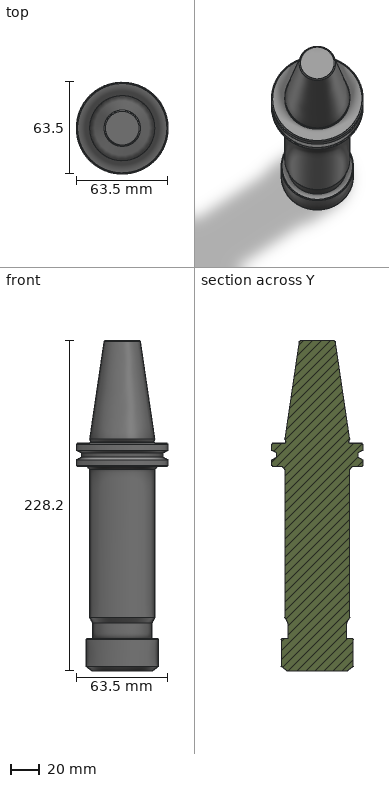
import cadquery as cq

total_length = 228.2
nut_diameter = 50.0
nut_face_diameter = 41.5
neck_diameter = 40.9
body_diameter = 45.0
flange_diameter = 63.5
groove_diameter = 56.4
taper_large_diameter = 45.0
taper_small_diameter = 25.0

nut_length = 22.5
nut_bevel_height = 3.2
neck_length = 10.5
body_bevel_height = 3.9
flange_bottom = 141.0
flange_top = 157.3
taper_length = 68.2
groove_middle = 149.0
groove_floor_width = 3.0
groove_mouth_width = 6.6

nut_top_chamfer = 0.7
flange_chamfer = 1.0
taper_tip_chamfer = 1.0
collar_size = 1.8
relief_depth = 0.7
relief_root_height = 1.0

nut_radius = nut_diameter / 2
neck_radius = neck_diameter / 2
body_radius = body_diameter / 2
flange_radius = flange_diameter / 2
groove_radius = groove_diameter / 2
taper_large_radius = taper_large_diameter / 2
taper_small_radius = taper_small_diameter / 2

neck_top = nut_length + neck_length
taper_bottom = total_length - taper_length

nut_outline = [
    (nut_face_diameter / 2, 0),
    (nut_radius, nut_bevel_height),
    (nut_radius, nut_length - nut_top_chamfer),
    (nut_radius - nut_top_chamfer, nut_length),
]
body_outline = [
    (neck_radius, nut_length),
    (neck_radius, neck_top),
    (body_radius, neck_top + body_bevel_height),
    (body_radius, flange_bottom - collar_size),
    (body_radius + collar_size, flange_bottom),
]
flange_outline = [
    (flange_radius - flange_chamfer, flange_bottom),
    (flange_radius, flange_bottom + flange_chamfer),
    (flange_radius, groove_middle - groove_mouth_width / 2),
    (groove_radius, groove_middle - groove_floor_width / 2),
    (groove_radius, groove_middle + groove_floor_width / 2),
    (flange_radius, groove_middle + groove_mouth_width / 2),
    (flange_radius, flange_top - flange_chamfer),
    (flange_radius - flange_chamfer, flange_top),
]
taper_outline = [
    (taper_large_radius, flange_top),
    (taper_large_radius - relief_depth, flange_top + relief_root_height),
    (taper_large_radius, taper_bottom),
    (taper_small_radius, total_length - taper_tip_chamfer),
    (taper_small_radius - taper_tip_chamfer, total_length),
]

axis_bottom = (0, 0)
axis_top = (0, total_length)
outline = [axis_bottom] + nut_outline + body_outline + flange_outline + taper_outline + [axis_top]
result = cq.Workplane("XZ").polyline(outline).close().revolve(360, axis_bottom, axis_top)